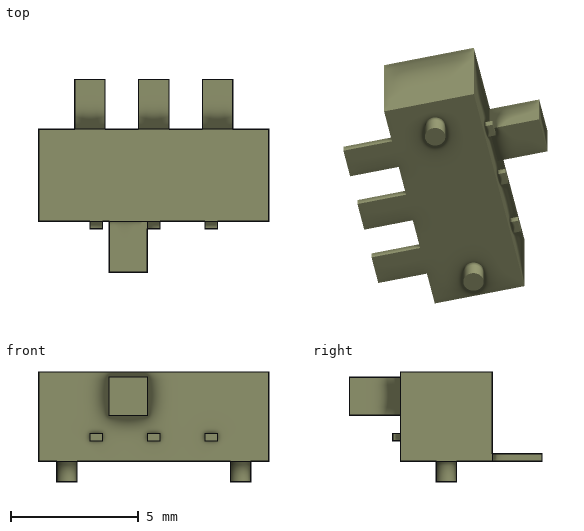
import cadquery as cq

body_length = 9.0
body_depth = 3.6
body_height = 3.5
front_y = -body_depth / 2
back_y = body_depth / 2

knob_size = 1.5
knob_reach = 2.0
knob_x = -1.0
knob_top_gap = 0.2
knob_bottom_z = body_height - knob_top_gap - knob_size

nub_width = 0.5
nub_height = 0.3
nub_reach = 0.3
nub_pitch = 2.25
nub_bottom_z = 0.8

lead_width = 1.2
lead_thickness = 0.3
lead_reach = 1.95
lead_pitch = 2.5

peg_diameter = 0.8
peg_length = 0.8
peg_spacing = 6.8


def block(width, depth, height, center_x, min_y, min_z):
    """Box centred on center_x that starts at min_y and min_z."""
    corner = (center_x - width / 2, min_y, min_z)
    return cq.Workplane("XY").box(width, depth, height, centered=False).translate(corner)


def row_of_three(pitch):
    """X positions of three features spaced evenly about the middle."""
    return (-pitch, 0, pitch)


def housing():
    return block(body_length, body_depth, body_height, 0, front_y, 0)


def knob():
    return block(knob_size, knob_reach, knob_size, knob_x, front_y - knob_reach, knob_bottom_z)


def nub(center_x):
    return block(nub_width, nub_reach, nub_height, center_x, front_y - nub_reach, nub_bottom_z)


def lead(center_x):
    return block(lead_width, lead_reach, lead_thickness, center_x, back_y, 0)


def pegs():
    centers = [(-peg_spacing / 2, 0), (peg_spacing / 2, 0)]
    return cq.Workplane("XY").pushPoints(centers).circle(peg_diameter / 2).extrude(-peg_length)


result = housing().union(knob()).union(pegs())
for nub_x in row_of_three(nub_pitch):
    result = result.union(nub(nub_x))
for lead_x in row_of_three(lead_pitch):
    result = result.union(lead(lead_x))